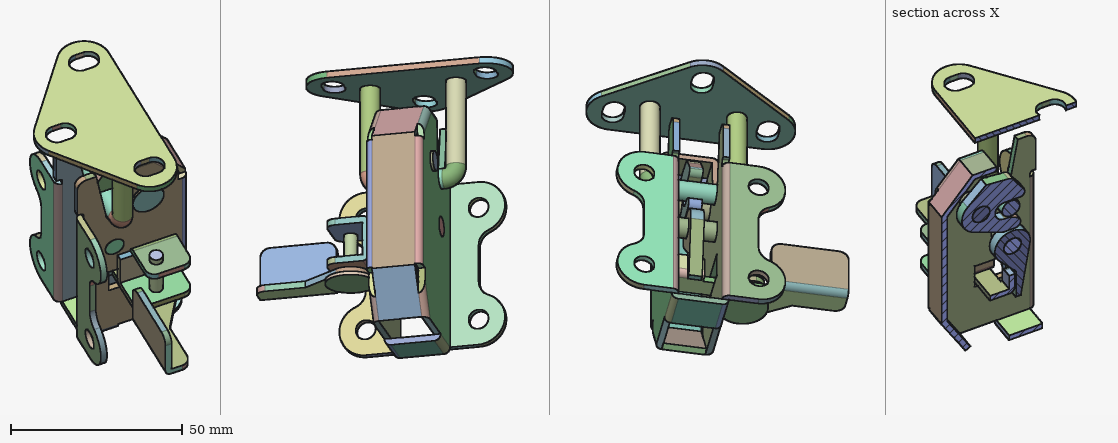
import cadquery as cq
import math


SHEET = 2.0
BEND_R = 1.9
CORNER_R = 3.0

INNER_HALF_WIDTH = 6.5
OUTER_HALF_WIDTH = INNER_HALF_WIDTH + SHEET
WALL_BOTTOM_Z = SHEET
WALL_TOP_Z = 69.0
BACK_Y = 35.6
LOWER_BEVEL_Y = 27.6
LOWER_BEVEL_Z = 15.4
UPPER_BEVEL_Y = 25.3
UPPER_BEVEL_Z = 57.0
LOWER_NOTCH_Y = 31.3
LOWER_NOTCH_Z = 15.85
UPPER_NOTCH_Y = 32.45
UPPER_NOTCH_Z = 55.9

ROD_Y = 12.45
ROD_SLOT_R = 3.3
ROD_SLOT_CENTER_Z = 51.05
ROD_SLOT_TOP_FRONT_Y = 6.1
ROD_SLOT_TOP_BACK_Y = 17.35

LOBE_X = 17.0
LOBE_R = 8.0
LOBE_LOW_Z = WALL_BOTTOM_Z + LOBE_R
LOBE_HIGH_Z = 45.0
FLANGE_TOP_Z = LOBE_HIGH_Z + LOBE_R
NECK_FILLET_R = 5.0
MOUNT_HOLE_R = 3.0
FLANGE_NOTCH_HEIGHT = 2.0
FLANGE_NOTCH_R = 1.0

FLOOR_FRONT_Y = 2.0
FLOOR_BACK_Y = 13.1

LEVER_SLOT_FRONT_Y = 10.1
LEVER_SLOT_BACK_Y = 20.4
LEVER_SLOT_TOP_Z = 25.9

TOTAL_HEIGHT = 83.0
PLATE_BOTTOM_Z = TOTAL_HEIGHT - SHEET
PLATE_LOBE_R = 8.0
PLATE_LOBE_X = 23.0
PLATE_BACK_LOBE_Y = 16.5
PLATE_TIP_LOBE_Y = -1.4
PLATE_SLOT_LENGTH = 9.1
PLATE_SLOT_WIDTH = 6.5
ROD_R = 3.0
ROD_LEG_X = 12.95
ROD_BAR_Z = 50.8
ROD_BEND_R = 3.6

PIN_R = 3.0
PAWL_PIN_Y = 22.4
PAWL_PIN_Z = 52.6
PAWL_PIN_HALF_LENGTH = 9.3
PAWL_PIN_HEAD_R = 5.0
CATCH_PIN_Y = 11.95
CATCH_PIN_Z = 36.0

BLADE_THICKNESS = 4.0
PAWL_HUB_R = 6.5
CATCH_HUB_R = 6.0
MOUTH_HALF_HEIGHT = 3.1
MOUTH_END_Y = 14.6
CATCH_BOTTOM_Z = 15.85
CATCH_TOE_Y = 9.1
CATCH_TAIL_BACK_Y = 10.9
CATCH_TAIL_TOP_Z = 25.7

LEVER_BOTTOM_Z = 17.9
LEVER_TOP_Z = LEVER_BOTTOM_Z + SHEET
LEVER_FRONT_Y = 11.1
LEVER_BACK_Y = 19.4
LEVER_LEFT_X = -5.4
LEVER_RIGHT_X = 46.0
TRIP_TAB_RIGHT_X = 3.15
TRIP_TAB_TOP_Z = 25.1
TRIP_TAB_CORNER_R = 1.5
HANDLE_LEFT_X = 23.0
HANDLE_TOP_Z = 33.95
LEVER_EYE_R = 6.0
LEVER_NECK_FRONT_Y = 13.6
LEVER_TAPER_X = 30.7

BRACKET_RIGHT_X = 21.75
BRACKET_TOP_Z = 33.95
BRACKET_FRONT_Y = 12.9
BRACKET_UPPER_FRONT_Y = 17.0
BRACKET_BACK_Y = 31.2
PIVOT_X = 16.4
PIVOT_Y = 21.7
PIVOT_R = 2.0
PIVOT_TOP_Z = 35.9
PIVOT_HEAD_R = 7.5
PIVOT_HEAD_BOTTOM_Z = 16.85


def block(x0, x1, y0, y1, z0, z1):
    """Box between the given coordinates."""
    return cq.Workplane("XY").box(x1 - x0, y1 - y0, z1 - z0, centered=False).translate((x0, y0, z0))


def x_cylinder(radius, y, z, x0, x1):
    """Cylinder along X."""
    return cq.Workplane("YZ", origin=(x0, y, z)).circle(radius).extrude(x1 - x0)


def z_cylinder(radius, x, y, z0, z1):
    """Cylinder along Z."""
    return cq.Workplane("XY", origin=(x, y, z0)).circle(radius).extrude(z1 - z0)


def tangent_point(center, radius, point, side):
    """Point where a line from `point` touches a circle; side +1 is left of the line to its centre."""
    dx = center[0] - point[0]
    dy = center[1] - point[1]
    distance = math.hypot(dx, dy)
    to_point = math.atan2(-dy, -dx)
    angle = to_point - side * math.acos(radius / distance)
    return (center[0] + radius * math.cos(angle), center[1] + radius * math.sin(angle))


def mirrored_pair(body):
    """A body together with its mirror image about X = 0."""
    return body.union(body.mirror("YZ"))


def cover_prism(front_y, bottom_y, bottom_z, half_width, inset):
    """Prism with the bevelled rear outline of the housing, moved inwards by `inset`."""
    outline = [
        (front_y, bottom_z),
        (bottom_y, bottom_z),
        (BACK_Y, LOWER_BEVEL_Z),
        (BACK_Y, UPPER_BEVEL_Z),
        (UPPER_BEVEL_Y, WALL_TOP_Z),
        (front_y, WALL_TOP_Z),
    ]
    sketch = cq.Workplane("YZ").polyline(outline).close()
    if inset:
        sketch = sketch.offset2D(-inset)
    return sketch.extrude(half_width, both=True)


def housing_cover():
    """Rear half of the housing: bevelled, open at its front and bottom, with bent outer edges."""
    shell = cover_prism(ROD_Y, LOWER_BEVEL_Y, WALL_BOTTOM_Z, OUTER_HALF_WIDTH, 0)
    shell = shell.faces("<X or >X").edges("not (<Y or <Z)").fillet(SHEET)
    bevel_run = (BACK_Y - LOWER_BEVEL_Y) / (LOWER_BEVEL_Z - WALL_BOTTOM_Z)
    extended_bevel_y = LOWER_BEVEL_Y - SHEET * bevel_run
    return shell.cut(
        cover_prism(ROD_Y - SHEET, extended_bevel_y, WALL_BOTTOM_Z - SHEET, INNER_HALF_WIDTH, SHEET)
    )


def front_walls():
    """Front halves of the two side walls, with their rounded top corners."""
    wall = block(INNER_HALF_WIDTH, OUTER_HALF_WIDTH, 0, ROD_Y, WALL_BOTTOM_Z, WALL_TOP_Z)
    wall = wall.edges("|X and <Y and >Z").fillet(CORNER_R)
    gap_top = FLANGE_TOP_Z + FLANGE_NOTCH_HEIGHT
    gap = block(INNER_HALF_WIDTH, OUTER_HALF_WIDTH, -SHEET, SHEET, FLANGE_TOP_Z, gap_top)
    gap = gap.edges("|X and >Y and >Z").fillet(FLANGE_NOTCH_R)
    return mirrored_pair(wall.cut(gap))


def flanges():
    """Two-lobed mounting flanges, bent outwards from the walls with a rounded inner edge."""
    flange = block(INNER_HALF_WIDTH, LOBE_X, 0, SHEET, WALL_BOTTOM_Z, FLANGE_TOP_Z)
    lobe_centers = [(LOBE_X, LOBE_LOW_Z), (LOBE_X, LOBE_HIGH_Z)]
    lobes = cq.Workplane("XZ").pushPoints(lobe_centers).circle(LOBE_R).extrude(-SHEET)
    flange = flange.union(lobes)
    for neck_end_z in (LOBE_LOW_Z + LOBE_R, LOBE_HIGH_Z - LOBE_R):
        corner = cq.NearestToPointSelector((LOBE_X, SHEET / 2, neck_end_z))
        flange = flange.edges("|Y").edges(corner).fillet(NECK_FILLET_R)
    holes = cq.Workplane("XZ").pushPoints(lobe_centers).circle(MOUNT_HOLE_R).extrude(-SHEET)
    return mirrored_pair(flange.cut(holes))


def floor_tab():
    """Floor between the walls, with bent lower edges."""
    floor = block(-OUTER_HALF_WIDTH, OUTER_HALF_WIDTH, FLOOR_FRONT_Y, FLOOR_BACK_Y, 0, SHEET)
    return floor.edges("|Y and <Z").fillet(BEND_R)


def rod_slot():
    """Tapered, round-ended slot across both walls for the striker rod."""
    return (
        cq.Workplane("YZ")
        .moveTo(ROD_SLOT_TOP_FRONT_Y, WALL_TOP_Z)
        .lineTo(ROD_Y - ROD_SLOT_R, ROD_SLOT_CENTER_Z)
        .threePointArc((ROD_Y, ROD_SLOT_CENTER_Z - ROD_SLOT_R), (ROD_Y + ROD_SLOT_R, ROD_SLOT_CENTER_Z))
        .lineTo(ROD_SLOT_TOP_BACK_Y, WALL_TOP_Z)
        .close()
        .extrude(OUTER_HALF_WIDTH, both=True)
    )


def bend_reliefs():
    """Notches that free the bevels from the walls at the ends of the back."""
    upper = block(INNER_HALF_WIDTH, OUTER_HALF_WIDTH, UPPER_NOTCH_Y, BACK_Y, UPPER_NOTCH_Z, WALL_TOP_Z)
    lower = block(INNER_HALF_WIDTH, OUTER_HALF_WIDTH, LOWER_NOTCH_Y, BACK_Y, WALL_BOTTOM_Z, LOWER_NOTCH_Z)
    return mirrored_pair(upper.union(lower))


def square_bevel_end():
    """Wedge that leaves the lower bevel with a square end between the walls."""
    slope = math.atan2(LOWER_BEVEL_Z - WALL_BOTTOM_Z, BACK_Y - LOWER_BEVEL_Y)
    tip = (LOWER_BEVEL_Y, WALL_BOTTOM_Z)
    inner_corner = (tip[0] - SHEET * math.sin(slope), tip[1] + SHEET * math.cos(slope))
    level_end = (tip[0] - SHEET / math.sin(slope), WALL_BOTTOM_Z)
    wedge = cq.Workplane("YZ").polyline([tip, inner_corner, level_end]).close()
    return wedge.extrude(INNER_HALF_WIDTH, both=True)


def make_housing():
    body = housing_cover().union(front_walls()).union(flanges())
    for x in (-INNER_HALF_WIDTH, INNER_HALF_WIDTH):
        flange_bend = cq.NearestToPointSelector((x, 0, (WALL_BOTTOM_Z + FLANGE_TOP_Z) / 2))
        body = body.edges("|Z").edges(flange_bend).fillet(SHEET)
    body = body.union(floor_tab())
    body = body.cut(rod_slot()).cut(bend_reliefs()).cut(square_bevel_end())
    body = body.cut(
        block(
            INNER_HALF_WIDTH, OUTER_HALF_WIDTH,
            LEVER_SLOT_FRONT_Y, LEVER_SLOT_BACK_Y,
            LEVER_BOTTOM_Z, LEVER_SLOT_TOP_Z,
        )
    )
    for y, z in ((PAWL_PIN_Y, PAWL_PIN_Z), (CATCH_PIN_Y, CATCH_PIN_Z)):
        body = body.cut(x_cylinder(PIN_R, y, z, -OUTER_HALF_WIDTH, OUTER_HALF_WIDTH))
    return body


def striker_plate():
    """Triangular plate with three round corners, each with a slotted hole."""
    corners = [
        (-PLATE_LOBE_X, PLATE_BACK_LOBE_Y),
        (0, PLATE_TIP_LOBE_Y),
        (PLATE_LOBE_X, PLATE_BACK_LOBE_Y),
    ]
    outline = cq.Workplane("XY", origin=(0, 0, PLATE_BOTTOM_Z)).polyline(corners).close()
    plate = outline.offset2D(PLATE_LOBE_R).extrude(SHEET)
    slots = cq.Workplane("XY", origin=(0, 0, PLATE_BOTTOM_Z)).pushPoints(corners)
    return plate.cut(slots.slot2D(PLATE_SLOT_LENGTH, PLATE_SLOT_WIDTH, 90).extrude(SHEET))


def striker_rod():
    """U-shaped round rod hanging from the plate."""
    bend_z = ROD_BAR_Z + ROD_BEND_R
    bend_x = ROD_LEG_X - ROD_BEND_R
    bend_middle_x = bend_x + ROD_BEND_R * math.sqrt(0.5)
    bend_middle_z = bend_z - ROD_BEND_R * math.sqrt(0.5)
    path = (
        cq.Workplane("XZ", origin=(0, ROD_Y, 0))
        .moveTo(-ROD_LEG_X, PLATE_BOTTOM_Z)
        .lineTo(-ROD_LEG_X, bend_z)
        .threePointArc((-bend_middle_x, bend_middle_z), (-bend_x, ROD_BAR_Z))
        .lineTo(bend_x, ROD_BAR_Z)
        .threePointArc((bend_middle_x, bend_middle_z), (ROD_LEG_X, bend_z))
        .lineTo(ROD_LEG_X, PLATE_BOTTOM_Z)
    )
    section = cq.Workplane("XY", origin=(-ROD_LEG_X, ROD_Y, PLATE_BOTTOM_Z)).circle(ROD_R)
    return section.sweep(path)


def make_striker():
    return striker_plate().union(striker_rod())


def make_pawl_pin():
    """Pin that ends proud of the left wall and has a flat head outside the right wall."""
    shank = x_cylinder(PIN_R, PAWL_PIN_Y, PAWL_PIN_Z, -PAWL_PIN_HALF_LENGTH, PAWL_PIN_HALF_LENGTH)
    head = x_cylinder(PAWL_PIN_HEAD_R, PAWL_PIN_Y, PAWL_PIN_Z, OUTER_HALF_WIDTH, PAWL_PIN_HALF_LENGTH)
    return shank.union(head)


def make_catch_pin():
    """Plain pin, flush with the outsides of the walls."""
    return x_cylinder(PIN_R, CATCH_PIN_Y, CATCH_PIN_Z, -OUTER_HALF_WIDTH, OUTER_HALF_WIDTH)


def make_pawl():
    """Blade on the upper pin whose mouth holds the striker rod between a hook and a lower jaw."""
    hub = (PAWL_PIN_Y, PAWL_PIN_Z)
    mouth_low_z = ROD_BAR_Z - MOUTH_HALF_HEIGHT
    mouth_high_z = ROD_BAR_Z + MOUTH_HALF_HEIGHT
    jaw_top = (13.45, mouth_low_z)
    jaw_brow = (9.6, 45.8)
    jaw_chin = (10.9, 42.6)
    jaw_heel = (14.9, 42.6)
    hook_back = (20.75, 63.3)
    hook_crest = (13.4, 62.7)
    hook_slope_top = (11.0, 60.7)
    hook_slope_bottom = (8.05, 56.5)
    hook_tip = (7.8, 55.8)
    hook_root = (9.5, mouth_high_z)
    profile = (
        cq.Workplane("YZ")
        .moveTo(MOUTH_END_Y, mouth_low_z)
        .lineTo(*jaw_top)
        .threePointArc((11.6, 47.15), jaw_brow)
        .threePointArc((9.2, 44.15), jaw_chin)
        .lineTo(*jaw_heel)
        .lineTo(*tangent_point(hub, PAWL_HUB_R, jaw_heel, -1))
        .threePointArc((hub[0] + PAWL_HUB_R, hub[1]), tangent_point(hub, PAWL_HUB_R, hook_back, 1))
        .lineTo(*hook_back)
        .lineTo(*hook_crest)
        .threePointArc((11.9, 62.0), hook_slope_top)
        .lineTo(*hook_slope_bottom)
        .lineTo(*hook_tip)
        .threePointArc((8.1, 54.5), hook_root)
        .lineTo(MOUTH_END_Y, mouth_high_z)
        .threePointArc((MOUTH_END_Y + MOUTH_HALF_HEIGHT, ROD_BAR_Z), (MOUTH_END_Y, mouth_low_z))
        .close()
    )
    blade = profile.extrude(BLADE_THICKNESS / 2, both=True)
    return blade.cut(x_cylinder(PIN_R, *hub, -BLADE_THICKNESS, BLADE_THICKNESS))


def make_catch():
    """Blade on the lower pin: a round hub with a tapering tail in front of the lever's trip tab."""
    hub = (CATCH_PIN_Y, CATCH_PIN_Z)
    toe = (CATCH_TOE_Y, CATCH_BOTTOM_Z)
    tail_top = (CATCH_TAIL_BACK_Y, CATCH_TAIL_TOP_Z)
    profile = (
        cq.Workplane("YZ")
        .moveTo(*toe)
        .lineTo(CATCH_TAIL_BACK_Y, CATCH_BOTTOM_Z)
        .lineTo(*tail_top)
        .lineTo(*tangent_point(hub, CATCH_HUB_R, tail_top, -1))
        .threePointArc((hub[0], hub[1] + CATCH_HUB_R), tangent_point(hub, CATCH_HUB_R, toe, 1))
        .close()
    )
    blade = profile.extrude(BLADE_THICKNESS / 2, both=True)
    return blade.cut(x_cylinder(PIN_R, *hub, -BLADE_THICKNESS, BLADE_THICKNESS))


def lever_tab(x0, x1, top_z, corner_r):
    """Tab bent up from the front edge of the lever."""
    tab = block(x0, x1, LEVER_FRONT_Y, LEVER_FRONT_Y + SHEET, LEVER_BOTTOM_Z, top_z)
    tab = tab.edges("|Y and >Z").fillet(corner_r)
    return tab.edges("|X and <Y and <Z").fillet(BEND_R)


def lever_bar():
    """Flat bar with a rounded end and a shallow neck between the places of its two tabs."""
    bar = block(
        LEVER_LEFT_X, LEVER_RIGHT_X,
        LEVER_FRONT_Y + SHEET, LEVER_BACK_Y,
        LEVER_BOTTOM_Z, LEVER_TOP_Z,
    )
    bar = bar.edges("|Z and >X and >Y").fillet(CORNER_R)
    neck = block(
        TRIP_TAB_RIGHT_X, HANDLE_LEFT_X,
        LEVER_FRONT_Y, LEVER_NECK_FRONT_Y,
        LEVER_BOTTOM_Z, LEVER_TOP_Z,
    )
    return bar.cut(neck)


def lever_eye():
    """Round eye for the pivot, tapering into the back edge of the bar."""
    center = (PIVOT_X, PIVOT_Y)
    taper_end = (LEVER_TAPER_X, LEVER_BACK_Y)
    touch = tangent_point(center, LEVER_EYE_R, taper_end, -1)
    taper = cq.Workplane("XY", origin=(0, 0, LEVER_BOTTOM_Z))
    taper = taper.polyline([center, (PIVOT_X, LEVER_BACK_Y), taper_end, touch]).close().extrude(SHEET)
    return taper.union(z_cylinder(LEVER_EYE_R, *center, LEVER_BOTTOM_Z, LEVER_TOP_Z))


def make_lever():
    """Flat bar through the right wall, with a handle outside, a trip tab inside and a pivot eye."""
    lever = lever_bar().union(lever_eye())
    lever = lever.union(lever_tab(HANDLE_LEFT_X, LEVER_RIGHT_X, HANDLE_TOP_Z, CORNER_R))
    lever = lever.union(lever_tab(LEVER_LEFT_X, TRIP_TAB_RIGHT_X, TRIP_TAB_TOP_Z, TRIP_TAB_CORNER_R))
    return lever.cut(z_cylinder(PIVOT_R, PIVOT_X, PIVOT_Y, LEVER_BOTTOM_Z, LEVER_TOP_Z))


def bracket_tab(front_y, bottom_z):
    """Horizontal bracket tab with two rounded free corners."""
    tab = block(
        OUTER_HALF_WIDTH, BRACKET_RIGHT_X, front_y, BRACKET_BACK_Y, bottom_z, bottom_z + SHEET
    )
    return tab.edges("|Z and >X").fillet(CORNER_R)


def make_bracket():
    """Channel on the right wall whose two tabs carry the lever pivot."""
    web = block(
        OUTER_HALF_WIDTH, OUTER_HALF_WIDTH + SHEET,
        BRACKET_FRONT_Y, BRACKET_BACK_Y,
        LEVER_TOP_Z, BRACKET_TOP_Z - SHEET,
    )
    bracket = web.union(bracket_tab(BRACKET_FRONT_Y, LEVER_TOP_Z))
    bracket = bracket.union(bracket_tab(BRACKET_UPPER_FRONT_Y, BRACKET_TOP_Z - SHEET))
    for z_end in ("<Z", ">Z"):
        bracket = bracket.faces(z_end).edges("<X").fillet(BEND_R)
    return bracket.cut(z_cylinder(PIVOT_R, PIVOT_X, PIVOT_Y, LEVER_TOP_Z, BRACKET_TOP_Z))


def make_pivot():
    """Vertical pivot with a flat head under the lever."""
    shank = z_cylinder(PIVOT_R, PIVOT_X, PIVOT_Y, PIVOT_HEAD_BOTTOM_Z, PIVOT_TOP_Z)
    head = z_cylinder(PIVOT_HEAD_R, PIVOT_X, PIVOT_Y, PIVOT_HEAD_BOTTOM_Z, LEVER_BOTTOM_Z)
    return shank.union(head)


housing = make_housing()
striker = make_striker()
pawl_pin = make_pawl_pin()
catch_pin = make_catch_pin()
pawl = make_pawl()
catch = make_catch()
lever = make_lever()
bracket = make_bracket()
pivot = make_pivot()

result = cq.Compound.makeCompound(
    [
        housing.val(),
        striker.val(),
        pawl_pin.val(),
        catch_pin.val(),
        pawl.val(),
        catch.val(),
        lever.val(),
        bracket.val(),
        pivot.val(),
    ]
)